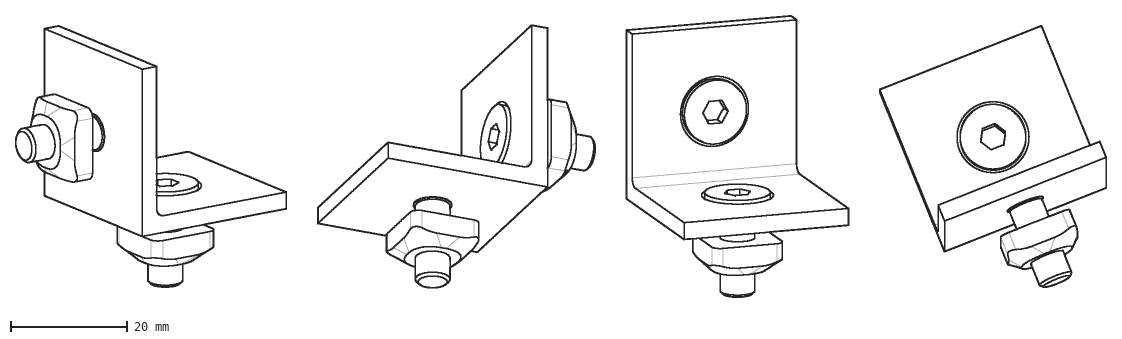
import cadquery as cq
import math

plate_size = 30.0
plate_thickness = 3.0
inner_fillet = 1.5
clearance_hole_diameter = 6.6

screw_diameter = 6.0
screw_length = 18.0
head_diameter = 11.34
head_height = 3.72
cone_end_below_plate = 0.2
tip_chamfer = 0.5
socket_across_flats = 4.0
socket_depth = 2.2
socket_bottom_angle = 120.0

nut_width = 12.8
nut_height = 5.5
nut_corner_radius = 1.5
nut_slope_height = 1.75
nut_slope_edge_radius = 6.0
nut_gap = 4.5

screw_radius = screw_diameter / 2
head_radius = head_diameter / 2
head_top = head_height - cone_end_below_plate
screw_tip = head_top - screw_length
cone_bottom = -cone_end_below_plate
cone_top = cone_bottom + head_radius - screw_radius
countersink_radius = screw_radius + plate_thickness - cone_bottom
clearance_radius = clearance_hole_diameter / 2
countersink_bottom = plate_thickness - (countersink_radius - clearance_radius)

plate_center = plate_size / 2


def on_floor_plate(shape):
    """Move a shape from the origin to the middle of the horizontal plate."""
    return shape.translate((0, plate_center, 0))


def on_wall_plate(shape):
    """Turn a shape that points to -Z towards -Y, at the middle of the vertical plate."""
    return shape.rotate((0, 0, 0), (1, 0, 0), -90).translate((0, 0, plate_center))


placements = [on_floor_plate, on_wall_plate]


def revolve_profile(points):
    """Revolve a closed (radius, height) outline around the Z axis."""
    return cq.Workplane("XZ").polyline(points).close().revolve(360, (0, 0), (0, 1))


def make_countersunk_hole():
    return revolve_profile([
        (0, 0),
        (clearance_radius, 0),
        (clearance_radius, countersink_bottom),
        (countersink_radius, plate_thickness),
        (0, plate_thickness),
    ])


def make_bracket():
    body = (
        cq.Workplane("YZ")
        .polyline([
            (0, 0),
            (plate_size, 0),
            (plate_size, plate_thickness),
            (plate_thickness, plate_thickness),
            (plate_thickness, plate_size),
            (0, plate_size),
        ])
        .close()
        .extrude(plate_size / 2, both=True)
    )
    inner_corner = cq.NearestToPointSelector((0, plate_thickness, plate_thickness))
    body = body.edges(inner_corner).fillet(inner_fillet)
    for place in placements:
        body = body.cut(place(make_countersunk_hole()))
    return body


def make_socket():
    """Hexagonal socket with a conical bottom that starts at the hexagon corners."""
    corner_radius = socket_across_flats / math.sqrt(3)
    cone_depth = corner_radius / math.tan(math.radians(socket_bottom_angle / 2))
    socket_bottom = head_top - socket_depth
    hexagon = (
        cq.Workplane("XY", origin=(0, 0, head_top))
        .polygon(6, 2 * corner_radius)
        .extrude(-(socket_depth + cone_depth))
    )
    pointed_bore = revolve_profile([
        (0, head_top),
        (corner_radius, head_top),
        (corner_radius, socket_bottom),
        (0, socket_bottom - cone_depth),
    ])
    return hexagon.intersect(pointed_bore)


def make_screw():
    body = revolve_profile([
        (0, head_top),
        (head_radius, head_top),
        (head_radius, cone_top),
        (screw_radius, cone_bottom),
        (screw_radius, screw_tip + tip_chamfer),
        (screw_radius - tip_chamfer, screw_tip),
        (0, screw_tip),
    ])
    return body.cut(make_socket())


def make_nut():
    outer_end = -nut_gap - nut_height
    end_face_width = nut_width - 2 * nut_slope_height
    block = (
        cq.Workplane("XY", origin=(0, 0, outer_end))
        .rect(nut_width, nut_width)
        .extrude(nut_height)
        .edges("|Z")
        .fillet(nut_corner_radius)
    )
    wide_end = end_face_width + 2 * nut_height
    pyramid = (
        cq.Workplane("XY", origin=(0, 0, outer_end))
        .rect(end_face_width, end_face_width)
        .workplane(offset=nut_height)
        .rect(wide_end, wide_end)
        .loft()
    )
    sloped_edges = pyramid.edges("not(#Z)")
    rounded_pyramid = sloped_edges.fillet(nut_slope_edge_radius)
    bore = cq.Workplane("XY", origin=(0, 0, outer_end)).circle(screw_radius).extrude(nut_height)
    return block.intersect(rounded_pyramid).cut(bore)


bracket = make_bracket()
screws = [place(make_screw()) for place in placements]
nuts = [place(make_nut()) for place in placements]

result = cq.Compound.makeCompound([body.solids().val() for body in [bracket, *screws, *nuts]])